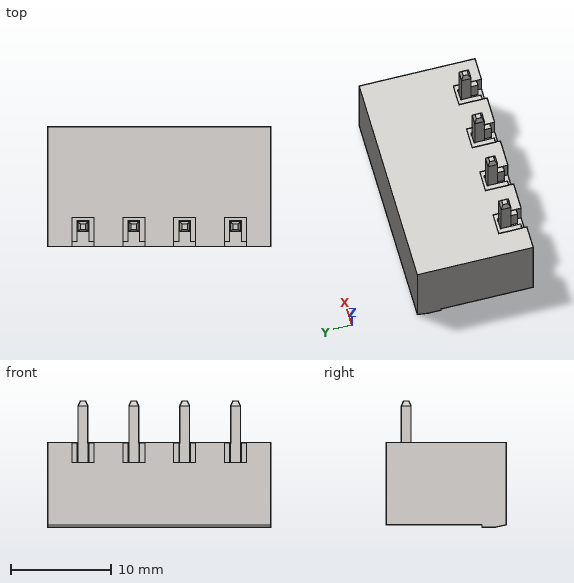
import cadquery as cq

pin_count = 4
pitch = 5.08
pin_width = 1.0
pin_center_inset = 2.0
pin_rise = 4.15
tip_height = 0.5
tip_width = 0.52

end_margin = 3.54
length = (pin_count - 1) * pitch + 2 * end_margin
depth = 12.0
height = 8.25
front_y = -depth / 2
back_y = depth / 2

lip_drop = 0.25
lip_depth = 2.45
lip_ramp = 1.15

slot_width = 2.2
slot_depth = 2.92
slot_height = 2.0

guide_front_inset = 0.5
guide_recess = 0.08
guide_gap_width = 1.17
guide_gap_depth = 2.6

slot_floor_z = height - slot_height
pin_centers = [(i - (pin_count - 1) / 2) * pitch for i in range(pin_count)]


def block(center_x, width, y_min, y_max, z_min, z_max):
    """Box centred on center_x and spanning the given Y and Z limits."""
    return (
        cq.Workplane("XY")
        .box(width, y_max - y_min, z_max - z_min, centered=(True, False, False))
        .translate((center_x, y_min, z_min))
    )


def make_housing():
    """Housing with its ramped lip, as one profile extruded along X."""
    profile = [
        (front_y, 0),
        (back_y - lip_depth, 0),
        (back_y - lip_depth, -lip_drop),
        (back_y - lip_ramp, -lip_drop),
        (back_y, 0),
        (back_y, height),
        (front_y, height),
    ]
    return cq.Workplane("YZ").polyline(profile).close().extrude(length / 2, both=True)


def make_slot(center_x):
    return block(center_x, slot_width, front_y, front_y + slot_depth, slot_floor_z, height)


def make_guide(center_x):
    guide_front_y = front_y + guide_front_inset
    guide = block(
        center_x, slot_width, guide_front_y, front_y + slot_depth, slot_floor_z, height - guide_recess
    )
    gap = block(
        center_x, guide_gap_width, guide_front_y, front_y + guide_gap_depth, slot_floor_z, height
    )
    return guide.cut(gap)


def make_pin(center_x):
    """Square pin standing on the slot floor, with a tapered tip."""
    center_y = front_y + pin_center_inset
    shoulder_z = height + pin_rise - tip_height
    shank = block(
        center_x, pin_width, center_y - pin_width / 2, center_y + pin_width / 2, slot_floor_z, shoulder_z
    )
    tip = (
        cq.Workplane("XY", origin=(center_x, center_y, shoulder_z))
        .rect(pin_width, pin_width)
        .workplane(offset=tip_height)
        .rect(tip_width, tip_width)
        .loft()
    )
    return shank.union(tip)


result = make_housing()
for pin_x in pin_centers:
    result = result.cut(make_slot(pin_x))
    result = result.union(make_guide(pin_x))
    result = result.union(make_pin(pin_x))